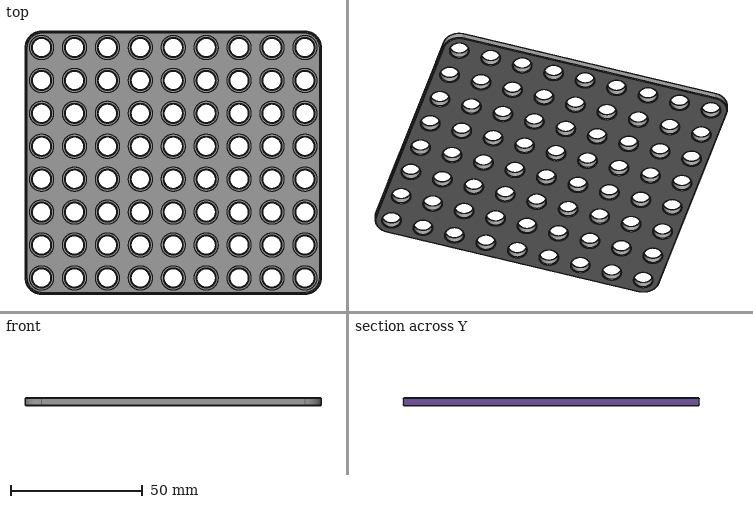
import cadquery as cq

columns = 9
rows = 8
length = 112.5
pitch = length / columns
width = rows * pitch
thickness = 3.2
corner_radius = pitch / 2

lip_height = 0.2
border_width = 0.8
hole_diameter = 7.0
ring_diameter = 9.2

bevel = 0.32


def rounded_slab(inset, bottom, height):
    """Rounded rectangle pulled in from the outline by inset, standing on z = bottom."""
    return (
        cq.Workplane("XY", origin=(0, 0, bottom))
        .rect(length - 2 * inset, width - 2 * inset)
        .extrude(height)
        .edges("|Z")
        .fillet(corner_radius - inset)
    )


def make_plate():
    """Beveled plate with the top face sunk inside the raised border."""
    plate = rounded_slab(0, 0, thickness).faces("<Z or >Z").chamfer(bevel)
    recess = rounded_slab(border_width, thickness - lip_height, lip_height)
    return plate.cut(recess)


def make_ring():
    """Disc that fills the full thickness and becomes a raised ring once it is bored."""
    return cq.Workplane("XY").circle(ring_diameter / 2).extrude(thickness)


def make_hole_cutter():
    """Solid of revolution about Z: a straight bore beveled at both ends."""
    bore_radius = hole_diameter / 2
    mouth_radius = bore_radius + bevel
    return (
        cq.Workplane("XZ")
        .lineTo(mouth_radius, 0)
        .lineTo(bore_radius, bevel)
        .lineTo(bore_radius, thickness - bevel)
        .lineTo(mouth_radius, thickness)
        .lineTo(0, thickness)
        .close()
        .revolve(360, (0, 0, 0), (0, 1, 0))
    )


def at_every_hole(tool):
    """Copies of a solid centered on the Z axis, one at each hole of the grid."""
    return (
        cq.Workplane("XY")
        .rarray(pitch, pitch, columns, rows)
        .eachpoint(lambda location: tool.val().moved(location))
    )


plate = make_plate()
rings = at_every_hole(make_ring())
holes = at_every_hole(make_hole_cutter())

result = plate.union(rings).cut(holes)